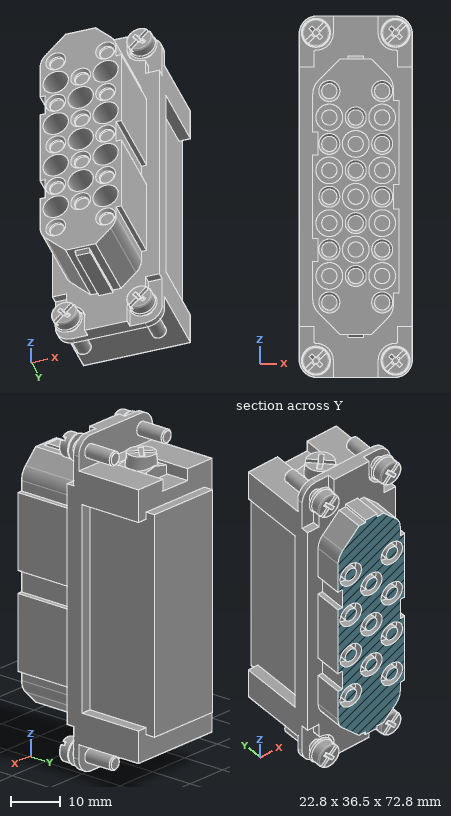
import cadquery as cq
import math


width = 22.8
height = 72.8
flange_thickness = 3.1
flange_corner_radius = 3.65
housing_height = 59.25
housing_back = 18.9
side_recess_height = 45.1
side_recess_front = 4.0
core_width = 17.9
core_height = 48.2
core_back = 21.1

screw_x = 8.0
screw_z = 33.0
recess_depth = 1.75
recess_radius = 3.5
recess_side_x = 8.45
recess_bottom_z = 26.05
recess_fillet = 0.4
shaft_diameter = 3.05
shaft_end = 9.9
shaft_chamfer = 0.3
head_diameter = 5.4
head_height = 2.7
head_fillet = 0.2
collar_diameter = 5.8
collar_height = 0.45
head_slot_width = 0.8
head_slot_depth = 0.95
head_cross_length = 3.05

mating_length = 15.35
mating_half_width = 8.65
mating_half_height = 27.7
mating_top_half_width = 3.2
mating_corner_radius = 4.0
rail_depth = 1.1
left_groove_z = (8.45, 13.0)
right_rail_z = (2.5, 19.4)
key_width = 3.05
key_height = 0.65
key_end_gap = 0.8
key_slope_length = 0.8

cross_depth_ratio = 1.5

pitch = 5.3
row_limit = 4
deep_diameter = 5.4
deep_depth = 10.9
pin_diameter = 3.05
pin_length = 3.65
socket_diameter = 4.2
socket_floor_diameter = 3.05
socket_cone_depth = 0.65
socket_depth = 1.1

terminal_y = 10.0
channel_width = 7.65
channel_front = 6.2
channel_floor_z = 27.1
clamp_size = 7.1
clamp_edge_z = 29.1
clamp_ridge_z = 29.9
earth_head_top_z = 32.2
earth_bottom_diameter = 6.7
earth_top_diameter = 6.1
earth_slot_width = 1.1
earth_slot_depth = 1.1
earth_cross_length = 4.65


def block(x_range, y_range, z_range):
    """Axis-aligned box between the given limits."""
    (x0, x1), (y0, y1), (z0, z1) = x_range, y_range, z_range
    return cq.Workplane("XY").box(x1 - x0, y1 - y0, z1 - z0, centered=False).translate((x0, y0, z0))


def centred_block(x_size, y_range, z_size):
    """Box centred on X and Z."""
    return block((-x_size / 2, x_size / 2), y_range, (-z_size / 2, z_size / 2))


def front_plane(y):
    """XZ sketch plane at the given y, extruding towards -Y."""
    return cq.Workplane("XZ", origin=(0, y, 0))


def mirrored_corners(shape):
    """The shape and its mirror copies in all four corners."""
    pair = shape.union(shape.mirror("YZ"))
    return pair.union(pair.mirror("XY"))


def driver_recess(slot_length, slot_width, slot_depth, cross_length):
    """Slot along the XY diagonal with a deeper tapered cross, cut down from z = 0."""
    cross_depth = cross_depth_ratio * slot_depth
    floor_length = cross_length - 2 * slot_depth
    slot = cq.Workplane("XY").box(slot_length, slot_width, 2 * slot_depth)
    arm = (
        cq.Workplane("XZ")
        .polyline([
            (-cross_length / 2, 0),
            (-floor_length / 2, -cross_depth),
            (floor_length / 2, -cross_depth),
            (cross_length / 2, 0),
        ])
        .close()
        .extrude(slot_width / 2, both=True)
    )
    cross = arm.union(arm.rotate((0, 0, 0), (0, 0, 1), 90))
    return slot.union(cross).rotate((0, 0, 0), (0, 0, 1), 45)


def make_housing():
    """Rounded flange, housing with a recess in each side, and the core behind it."""
    flange = centred_block(width, (0, flange_thickness), height).edges("|Y").fillet(flange_corner_radius)
    body = flange.union(centred_block(width, (0, housing_back), housing_height))
    recess_width = (width - core_width) / 2
    for x_start in (-width / 2, core_width / 2):
        body = body.cut(block(
            (x_start, x_start + recess_width),
            (side_recess_front, housing_back),
            (-side_recess_height / 2, side_recess_height / 2),
        ))
    return body.union(centred_block(core_width, (side_recess_front, core_back), core_height))


def corner_recess():
    """Recess in the flange face around the top right screw."""
    arc_end_x = screw_x - recess_radius
    arc_middle = recess_radius * math.sqrt(0.5)
    fillet_middle = recess_fillet * (1 - math.sqrt(0.5))
    arc_bottom_z = screw_z - recess_radius
    return (
        front_plane(recess_depth)
        .moveTo(arc_end_x, height / 2)
        .lineTo(arc_end_x, screw_z)
        .threePointArc((screw_x - arc_middle, screw_z - arc_middle), (screw_x, arc_bottom_z))
        .threePointArc(
            (recess_side_x - fillet_middle, arc_bottom_z - fillet_middle),
            (recess_side_x, arc_bottom_z - recess_fillet),
        )
        .lineTo(recess_side_x, recess_bottom_z)
        .lineTo(width / 2, recess_bottom_z)
        .lineTo(width / 2, height / 2)
        .close()
        .extrude(recess_depth)
    )


def flange_screw():
    """Screw on the Z axis with its seat at z = 0 and its head upwards."""
    shaft = (
        cq.Workplane("XY").circle(shaft_diameter / 2).extrude(-shaft_end)
        .faces("<Z").chamfer(shaft_chamfer)
    )
    head = (
        cq.Workplane("XY").circle(head_diameter / 2).extrude(head_height)
        .faces(">Z").edges().fillet(head_fillet)
    )
    collar = (
        cq.Workplane("XY").circle(collar_diameter / 2)
        .workplane(offset=collar_height).circle(head_diameter / 2)
        .loft()
    )
    recess = driver_recess(head_diameter, head_slot_width, head_slot_depth, head_cross_length)
    return shaft.union(head).union(collar).cut(recess.translate((0, 0, head_height)))


def add_flange_screws(body):
    """Four screws with their heads towards the mating side."""
    screw = flange_screw().rotate((0, 0, 0), (1, 0, 0), 90)
    for x in (-screw_x, screw_x):
        for z in (-screw_z, screw_z):
            body = body.union(screw.translate((x, 0, z)))
    return body


def make_mating_block():
    """Octagonal block with rounded side corners, two grooves at -X and two rails at +X."""
    right_face = mating_half_width - rail_depth
    left_shoulder_z = mating_half_height - (mating_half_width - mating_top_half_width)
    right_shoulder_z = mating_half_height - (right_face - mating_top_half_width)
    outline = [
        (mating_top_half_width, mating_half_height),
        (right_face, right_shoulder_z),
        (right_face, -right_shoulder_z),
        (mating_top_half_width, -mating_half_height),
        (-mating_top_half_width, -mating_half_height),
        (-mating_half_width, -left_shoulder_z),
        (-mating_half_width, left_shoulder_z),
        (-mating_top_half_width, mating_half_height),
    ]
    mating = front_plane(0).polyline(outline).close().extrude(mating_length)
    for side in ("<X", ">X"):
        mating = mating.faces(side).edges("|Y").fillet(mating_corner_radius)

    y_range = (-mating_length, 0)
    groove_x = (-mating_half_width, rail_depth - mating_half_width)
    for sign in (-1, 1):
        groove_z = sorted(sign * z for z in left_groove_z)
        rail_z = sorted(sign * z for z in right_rail_z)
        mating = mating.cut(block(groove_x, y_range, groove_z))
        mating = mating.union(block((0, mating_half_width), y_range, rail_z))
    return mating


def polarising_key():
    """Rib on the top of the mating block with a sloped front end."""
    key_end = key_end_gap - mating_length
    top = mating_half_height + key_height
    return (
        cq.Workplane("YZ")
        .polyline([
            (0, 0),
            (0, top),
            (key_end + key_slope_length, top),
            (key_end, mating_half_height),
            (key_end, 0),
        ])
        .close()
        .extrude(key_width / 2, both=True)
    )


def cut_contacts(body):
    """Three columns in which deep pin chambers alternate with shallow countersunk sockets."""
    chambers = []
    sockets = []
    for column in (-1, 0, 1):
        last_row = row_limit if column else row_limit - 1
        for row in range(-last_row, last_row + 1):
            kind = chambers if (row + column) % 2 == 0 else sockets
            kind.append((column * pitch, row * pitch))

    body = body.cut(
        front_plane(deep_depth - mating_length).pushPoints(chambers)
        .circle(deep_diameter / 2).circle(pin_diameter / 2).extrude(deep_depth)
    )
    body = body.cut(
        front_plane(deep_depth - pin_length - mating_length).pushPoints(chambers)
        .circle(pin_diameter / 2).extrude(deep_depth - pin_length)
    )
    cone = (
        front_plane(socket_cone_depth - mating_length).circle(socket_floor_diameter / 2)
        .workplane(offset=socket_cone_depth).circle(socket_diameter / 2)
        .loft()
    )
    bore = (
        front_plane(socket_depth - mating_length)
        .circle(socket_floor_diameter / 2).extrude(socket_depth)
    )
    socket = cone.union(bore)
    for x, z in sockets:
        body = body.cut(socket.translate((x, 0, z)))
    return body


def add_earth_terminal(body):
    """Channel in the top of the housing with a roof-shaped clamp and its screw."""
    body = body.cut(block(
        (-channel_width / 2, channel_width / 2),
        (channel_front, housing_back),
        (channel_floor_z, housing_height / 2),
    ))
    half_clamp = clamp_size / 2
    clamp = (
        front_plane(terminal_y)
        .polyline([
            (-half_clamp, channel_floor_z),
            (-half_clamp, clamp_edge_z),
            (0, clamp_ridge_z),
            (half_clamp, clamp_edge_z),
            (half_clamp, channel_floor_z),
        ])
        .close()
        .extrude(half_clamp, both=True)
    )
    head = (
        cq.Workplane("XY", origin=(0, terminal_y, clamp_edge_z))
        .circle(earth_bottom_diameter / 2)
        .workplane(offset=earth_head_top_z - clamp_edge_z)
        .circle(earth_top_diameter / 2)
        .loft()
    )
    recess = driver_recess(earth_bottom_diameter, earth_slot_width, earth_slot_depth, earth_cross_length)
    recess = recess.rotate((0, 0, 0), (0, 0, 1), 90)
    head = head.cut(recess.translate((0, terminal_y, earth_head_top_z)))
    return body.union(clamp).union(head)


housing = make_housing().cut(mirrored_corners(corner_recess()))
housing = add_earth_terminal(housing)
housing = add_flange_screws(housing)
key = polarising_key()
mating_block = make_mating_block().union(key).union(key.mirror("XY"))
result = housing.union(cut_contacts(mating_block))